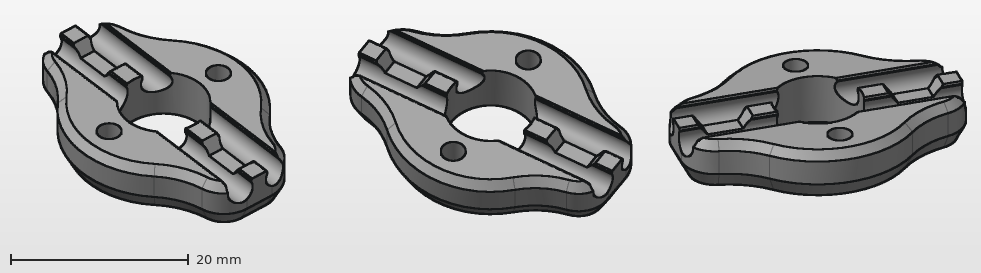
import cadquery as cq
import math

LENGTH = 33.5
WIDTH = 23.95
THICKNESS = 6.0
CENTRAL_RADIUS = WIDTH / 2
CORNER_RADIUS = 4.0
WAIST_RADIUS = 10.0
END_FLAT = 3.7

BEVEL_WIDTH = 1.0
TOP_BEVEL_HEIGHT = 1.0
BOTTOM_BEVEL_HEIGHT = 2.0

BORE_DIAMETER = 10.5
PIN_HOLE_DIAMETER = 2.8
PIN_HOLE_OFFSET = 8.0

GROOVE_DIAMETER = 3.08
GROOVE_OFFSET = 2.5
GROOVE_AXIS_DEPTH = 1.2
NECK_WIDTH = 2.65
MOUTH_WIDTH = 2.88
MOUTH_DEPTH = 0.3

NOTCH_OFFSET = 11.25
NOTCH_TOP_LENGTH = 6.45
NOTCH_FLOOR_LENGTH = 4.22
NOTCH_DEPTH = 1.5


def polar(center, radius, angle):
    """Point on a circle around center."""
    return (center[0] + radius * math.cos(angle), center[1] + radius * math.sin(angle))


def direction(start, end):
    """Angle of the line from start to end."""
    return math.atan2(end[1] - start[1], end[0] - start[0])


def outline():
    """Rounded body outline; neighboring arcs meet tangent."""
    half_length = LENGTH / 2
    origin = (0.0, 0.0)
    corner = (half_length - CORNER_RADIUS, END_FLAT / 2)

    to_waist = CENTRAL_RADIUS + WAIST_RADIUS
    corner_to_waist = CORNER_RADIUS + WAIST_RADIUS
    to_corner = math.hypot(*corner)
    cosine = (to_waist**2 + to_corner**2 - corner_to_waist**2) / (2 * to_waist * to_corner)
    waist_angle = direction(origin, corner) + math.acos(cosine)
    waist = polar(origin, to_waist, waist_angle)
    corner_angle = direction(corner, waist)

    waist_start = polar(corner, CORNER_RADIUS, corner_angle)
    corner_middle = polar(corner, CORNER_RADIUS, corner_angle / 2)
    waist_end = polar(origin, CENTRAL_RADIUS, waist_angle)
    waist_middle = polar(waist, WAIST_RADIUS, (waist_angle + corner_angle) / 2 + math.pi)

    def mirrored(point, x_sign, y_sign):
        return (x_sign * point[0], y_sign * point[1])

    sketch = cq.Workplane("XY").moveTo(half_length, -END_FLAT / 2).lineTo(half_length, END_FLAT / 2)
    for side in (1, -1):
        sketch = (
            sketch.threePointArc(mirrored(corner_middle, side, side), mirrored(waist_start, side, side))
            .threePointArc(mirrored(waist_middle, side, side), mirrored(waist_end, side, side))
            .threePointArc((0, side * CENTRAL_RADIUS), mirrored(waist_end, -side, side))
            .threePointArc(mirrored(waist_middle, -side, side), mirrored(waist_start, -side, side))
            .threePointArc(mirrored(corner_middle, -side, side), (-side * half_length, side * END_FLAT / 2))
        )
        if side == 1:
            sketch = sketch.lineTo(-half_length, -END_FLAT / 2)
    return sketch.close()


def beveled_body():
    body = outline().extrude(THICKNESS)
    body = body.faces(">Z").chamfer(TOP_BEVEL_HEIGHT, BEVEL_WIDTH)
    return body.faces("<Z").chamfer(BOTTOM_BEVEL_HEIGHT, BEVEL_WIDTH)


def rib():
    """Strip between the groove axes that keeps full height out to the square ends."""
    height = THICKNESS - BOTTOM_BEVEL_HEIGHT
    strip = cq.Workplane("XY").box(LENGTH, 2 * GROOVE_OFFSET, height, centered=(True, True, False))
    strip = strip.translate((0, 0, BOTTOM_BEVEL_HEIGHT))
    return strip.intersect(outline().extrude(THICKNESS))


def groove(y):
    """Round channel with a narrow neck that flares at the top face."""
    axis_height = THICKNESS - GROOVE_AXIS_DEPTH
    channel = (
        cq.Workplane("YZ").center(y, axis_height).circle(GROOVE_DIAMETER / 2).extrude(LENGTH / 2, both=True)
    )
    neck_height = THICKNESS - MOUTH_DEPTH
    mouth = (
        cq.Workplane("YZ")
        .polyline([
            (y - NECK_WIDTH / 2, axis_height),
            (y + NECK_WIDTH / 2, axis_height),
            (y + NECK_WIDTH / 2, neck_height),
            (y + MOUTH_WIDTH / 2, THICKNESS),
            (y - MOUTH_WIDTH / 2, THICKNESS),
            (y - NECK_WIDTH / 2, neck_height),
        ])
        .close()
        .extrude(LENGTH / 2, both=True)
    )
    return channel.union(mouth)


def notch(x):
    """Sloped-end notch across the rib."""
    floor = THICKNESS - NOTCH_DEPTH
    return (
        cq.Workplane("XZ")
        .polyline([
            (x - NOTCH_TOP_LENGTH / 2, THICKNESS),
            (x - NOTCH_FLOOR_LENGTH / 2, floor),
            (x + NOTCH_FLOOR_LENGTH / 2, floor),
            (x + NOTCH_TOP_LENGTH / 2, THICKNESS),
        ])
        .close()
        .extrude(GROOVE_OFFSET, both=True)
    )


result = beveled_body().union(rib())
for side in (1, -1):
    result = result.cut(groove(side * GROOVE_OFFSET))
    result = result.cut(notch(side * NOTCH_OFFSET))

bore = cq.Workplane("XY").circle(BORE_DIAMETER / 2).extrude(THICKNESS)
pin_holes = (
    cq.Workplane("XY")
    .pushPoints([(0, PIN_HOLE_OFFSET), (0, -PIN_HOLE_OFFSET)])
    .circle(PIN_HOLE_DIAMETER / 2)
    .extrude(THICKNESS)
)
result = result.cut(bore).cut(pin_holes)